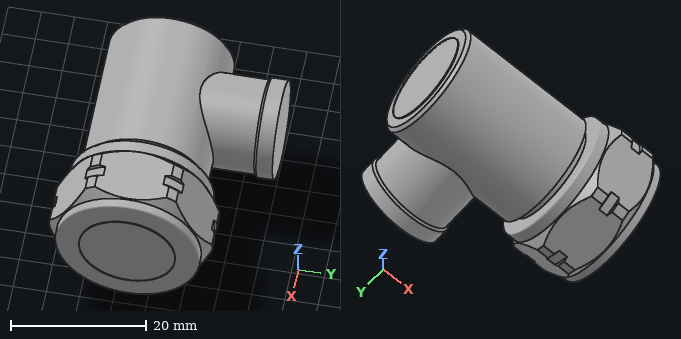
import cadquery as cq
import math

overall_length = 36.95

end_step = 0.15
barrel_radius = 9.5
barrel_end = 23.25
barrel_chamfer = 0.55
neck_radius = 8.1
spigot_radius = 7.25

branch_x = 10.97
branch_radius = 7.13
branch_end = 18.47
rim_radius = 7.5
rim_length = 2.85
rim_chamfer = rim_radius - branch_radius

plug_radius = 7.35
plug_depth = 1.85

nut_start = 24.45
nut_end = overall_length - end_step
hex_start = 26.45
hex_end = 35.3
hex_sides = 6
hex_across_flats = 22.0
collar_radius = 10.9
collar_fillet = 0.35
corner_radius = 12.25
corner_chamfer = corner_radius - collar_radius
groove_radius = 11.9
groove_floor_width = 1.55
groove_top_width = 1.92


def cylinder(start, end, radius):
    """Solid cylinder on the main axis between two X positions."""
    return cq.Workplane("YZ").workplane(offset=start).circle(radius).extrude(end - start)


def revolve_about_x(points):
    """Solid of revolution about the main axis from (x, radius) points."""
    return cq.Workplane("XY").polyline(points).close().revolve(360, (0, 0, 0), (1, 0, 0))


def make_branch():
    """Side branch along +Y, from the main axis to a rim chamfered on its inner side."""
    stem = cq.Workplane("XZ", origin=(branch_x, 0, 0)).circle(branch_radius).extrude(-branch_end)
    rim = (
        cq.Workplane("XZ", origin=(branch_x, branch_end, 0))
        .circle(rim_radius)
        .extrude(rim_length)
        .faces("<Y")
        .chamfer(rim_chamfer)
    )
    return stem.union(rim)


def make_housing():
    barrel = cylinder(end_step, barrel_end, barrel_radius).faces("<X").chamfer(barrel_chamfer)
    neck = cylinder(barrel_end, nut_start, neck_radius)
    spigot = cylinder(nut_start, overall_length, spigot_radius)
    plug_seat = cylinder(end_step, end_step + plug_depth, plug_radius)
    return barrel.union(neck).union(spigot).union(make_branch()).cut(plug_seat)


def make_plug():
    return cylinder(0, end_step + plug_depth, plug_radius)


def make_hexagon():
    """Hexagon with corners along Y, turned down and chamfered at 45 degrees on both ends."""
    corner_diameter = hex_across_flats / math.cos(math.pi / hex_sides)
    prism = (
        cq.Workplane("YZ")
        .workplane(offset=hex_start)
        .polygon(hex_sides, corner_diameter)
        .extrude(hex_end - hex_start)
    )
    turned_blank = cylinder(hex_start, hex_end, corner_radius).faces("<X or >X").chamfer(corner_chamfer)
    return prism.intersect(turned_blank)


def make_groove():
    """Ring with sloping walls that notches every hexagon corner at mid-length."""
    middle = (hex_start + hex_end) / 2
    floor_half = groove_floor_width / 2
    top_half = groove_top_width / 2
    return revolve_about_x([
        (middle - floor_half, groove_radius),
        (middle + floor_half, groove_radius),
        (middle + top_half, corner_radius),
        (middle - top_half, corner_radius),
    ])


def make_nut():
    collar = cylinder(nut_start, nut_end, collar_radius).faces("<X or >X").edges().fillet(collar_fillet)
    bore = cylinder(nut_start, nut_end, spigot_radius)
    return collar.union(make_hexagon().cut(make_groove())).cut(bore)


housing = make_housing()
plug = make_plug()
nut = make_nut()

result = cq.Compound.makeCompound([housing.val(), plug.val(), nut.val()])